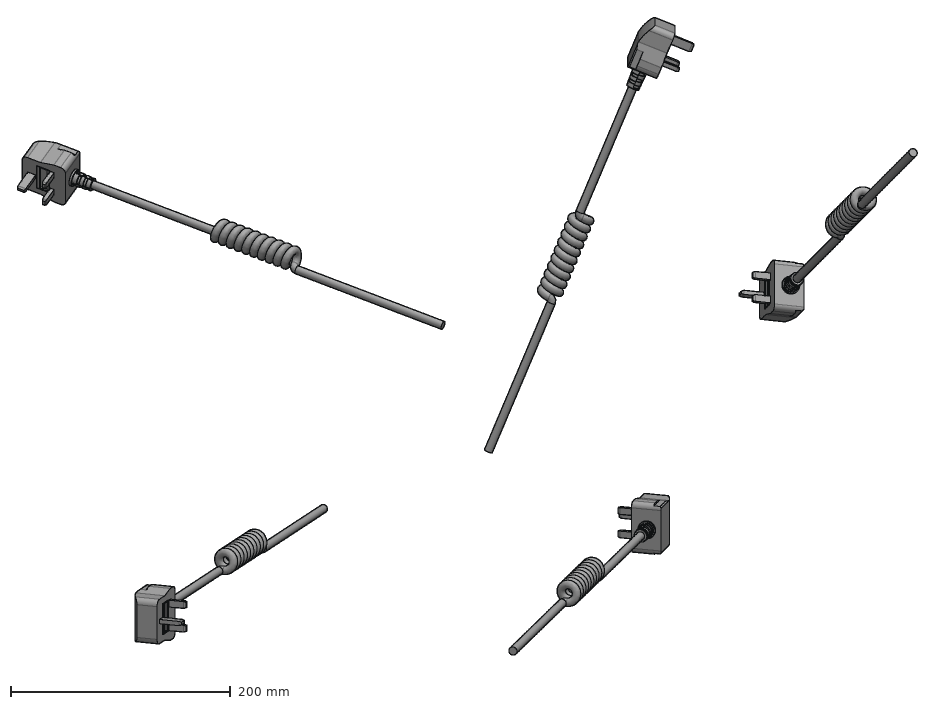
import cadquery as cq


lead_length = 429.0
wire_radius = 3.95
cord_y = 15.0

plug_length = 44.5
plug_depth = 28.5
plug_half_height = 24.5
narrow_half_height = 21.0
shoulder_start = 19.0
shoulder_end = 32.5
front_corner_radius = 5.5
rear_corner_radius = 5.0

nose_depth = 19.7
slope_length = 19.0
slope_radius = 45.0

grip_half_height = 22.7
grip_start_y = 21.0
grip_chamfer = 1.5

carrier_center_x = 21.5
carrier_length = 13.0
carrier_height = 29.0
carrier_depth = 0.5
fuse_slot_length = 7.7
fuse_slot_height = 27.0
fuse_slot_depth = 2.0

pin_thickness = 4.0
pin_tip_length = 2.0
pin_tip_taper = 18.0
earth_pin_x = 10.0
earth_pin_width = 8.0
earth_pin_length = 21.5
live_pin_x = 31.0
live_pin_z = 11.0
live_pin_width = 6.5
live_pin_length = 16.7

collar_radius = 8.0
collar_end = 46.8
relief_end = 64.8
relief_start_radius = 7.0
relief_end_radius = 6.0
groove_radius = 5.0
groove_width = 2.5
groove_pitch = 6.5
first_groove_x = 48.0
grooves_per_quarter = 3

coil_start = 190.5
coil_turns = 10
helix_length = 80.2
helix_radius = 2 * wire_radius
bend_radius = 4.05
coil_axis_y = cord_y - bend_radius
second_cord_y = coil_axis_y - bend_radius
coil_end = coil_start + helix_length + 2 * bend_radius


def make_block(x_start, x_end, y_start, y_end, z_start, z_end):
    """Box between two opposite corners."""
    return (
        cq.Workplane("XY", origin=(x_start, y_start, z_start))
        .box(x_end - x_start, y_end - y_start, z_end - z_start, centered=False)
    )


def make_rod(x_start, x_end, axis_y, radius):
    """Cylinder along X at z = 0."""
    return cq.Workplane("YZ", origin=(x_start, axis_y, 0)).circle(radius).extrude(x_end - x_start)


def make_housing_blank():
    """Plug outline that widens towards the cord, under a back that slopes at the nose."""
    outline = (
        cq.Workplane("XZ")
        .moveTo(0, -narrow_half_height)
        .lineTo(shoulder_start, -narrow_half_height)
        .lineTo(shoulder_end, -plug_half_height)
        .lineTo(plug_length, -plug_half_height)
        .lineTo(plug_length, plug_half_height)
        .lineTo(shoulder_end, plug_half_height)
        .lineTo(shoulder_start, narrow_half_height)
        .lineTo(0, narrow_half_height)
        .close()
        .extrude(-plug_depth)
        .edges("|Y and <X").fillet(front_corner_radius)
        .edges("|Y and >X").fillet(rear_corner_radius)
    )
    side_profile = (
        cq.Workplane("XY", origin=(0, 0, -plug_half_height))
        .lineTo(plug_length, 0)
        .lineTo(plug_length, plug_depth)
        .lineTo(slope_length, plug_depth)
        .radiusArc((0, nose_depth), -slope_radius)
        .close()
        .extrude(2 * plug_half_height)
    )
    return outline.intersect(side_profile)


def cut_finger_grips(housing):
    """Flat grips on both sides of the back, with their back edges chamfered."""
    upper_cutter = (
        cq.Workplane("YZ", origin=(shoulder_start, 0, 0))
        .moveTo(grip_start_y, plug_half_height)
        .lineTo(grip_start_y, grip_half_height)
        .lineTo(plug_depth - grip_chamfer, grip_half_height)
        .lineTo(plug_depth, grip_half_height - grip_chamfer)
        .lineTo(plug_depth, plug_half_height)
        .close()
        .extrude(plug_length - shoulder_start)
    )
    return housing.cut(upper_cutter).cut(upper_cutter.mirror("XY"))


def cut_fuse_carrier(housing):
    """Shallow carrier recess with a deeper slot inside it."""
    for length, height, depth in (
        (carrier_length, carrier_height, carrier_depth),
        (fuse_slot_length, fuse_slot_height, fuse_slot_depth),
    ):
        housing = housing.cut(
            make_block(
                carrier_center_x - length / 2, carrier_center_x + length / 2,
                0, depth, -height / 2, height / 2,
            )
        )
    return housing


def make_pin(x, z, width, height, length):
    """Rectangular pin with a tapered tip, standing out from the pin face."""
    shank_length = length - pin_tip_length
    shank = cq.Workplane("XZ", origin=(x, 0, z)).rect(width, height).extrude(shank_length)
    tip = (
        cq.Workplane("XZ", origin=(x, -shank_length, z))
        .rect(width, height)
        .extrude(pin_tip_length, taper=pin_tip_taper)
    )
    return shank.union(tip)


def make_strain_relief():
    """Tapered sleeve whose grooves are staggered from each quarter to the next."""
    sleeve = (
        cq.Workplane("XY")
        .moveTo(plug_length, 0)
        .lineTo(plug_length, collar_radius)
        .lineTo(collar_end, collar_radius)
        .lineTo(collar_end, relief_start_radius)
        .lineTo(relief_end, relief_end_radius)
        .lineTo(relief_end, 0)
        .close()
        .revolve(360, (0, 0), (1, 0))
        .translate((0, cord_y, 0))
    )
    for y_side, z_side in ((1, 1), (-1, 1), (-1, -1), (1, -1)):
        same_side = y_side == z_side
        stagger = 0 if same_side else groove_pitch / 2
        count = grooves_per_quarter if same_side else grooves_per_quarter - 1
        for index in range(count):
            groove_x = first_groove_x + stagger + index * groove_pitch
            quarter = make_block(
                groove_x, groove_x + groove_width,
                min(0, y_side * collar_radius), max(0, y_side * collar_radius),
                min(0, z_side * collar_radius), max(0, z_side * collar_radius),
            ).translate((0, cord_y, 0))
            core = make_rod(groove_x, groove_x + groove_width, cord_y, groove_radius)
            sleeve = sleeve.cut(quarter.cut(core))
    return sleeve


def make_plug():
    """Housing, pins and strain relief moulded as one body."""
    plug = cut_fuse_carrier(cut_finger_grips(make_housing_blank()))
    plug = plug.union(make_strain_relief())
    plug = plug.union(make_pin(earth_pin_x, 0, earth_pin_width, pin_thickness, earth_pin_length))
    for z in (-live_pin_z, live_pin_z):
        plug = plug.union(make_pin(live_pin_x, z, pin_thickness, live_pin_width, live_pin_length))
    return plug


def make_coil():
    """Left-handed helix that starts and ends at the bottom, with a quarter bend to each cord."""
    path = cq.Wire.makeHelix(
        helix_length / coil_turns, helix_length, helix_radius, lefthand=True
    )
    helix = (
        cq.Workplane("XZ", origin=(helix_radius, 0, 0))
        .circle(wire_radius)
        .sweep(cq.Workplane(path), isFrenet=True)
        .rotate((0, 0, 0), (0, 1, 0), 90)
        .translate((coil_start + bend_radius, coil_axis_y, helix_radius))
    )
    start_bend = (
        cq.Workplane("YZ", origin=(coil_start, cord_y, 0))
        .circle(wire_radius)
        .revolve(90, (-bend_radius, 4.5), (-bend_radius, -4.5))
    )
    end_bend = (
        cq.Workplane("YZ", origin=(coil_end, second_cord_y, 0))
        .circle(wire_radius)
        .revolve(90, (bend_radius, 4.5), (bend_radius, -4.5))
    )
    return start_bend.union(helix).union(end_bend)


plug = make_plug()
coil = make_coil()
cord_spans = (
    (relief_end, coil_start, cord_y),
    (coil_end, lead_length, second_cord_y),
)
cords = [make_rod(x_start, x_end, axis_y, wire_radius) for x_start, x_end, axis_y in cord_spans]

result = cq.Compound.makeCompound([plug.val(), coil.val(), *[cord.val() for cord in cords]])